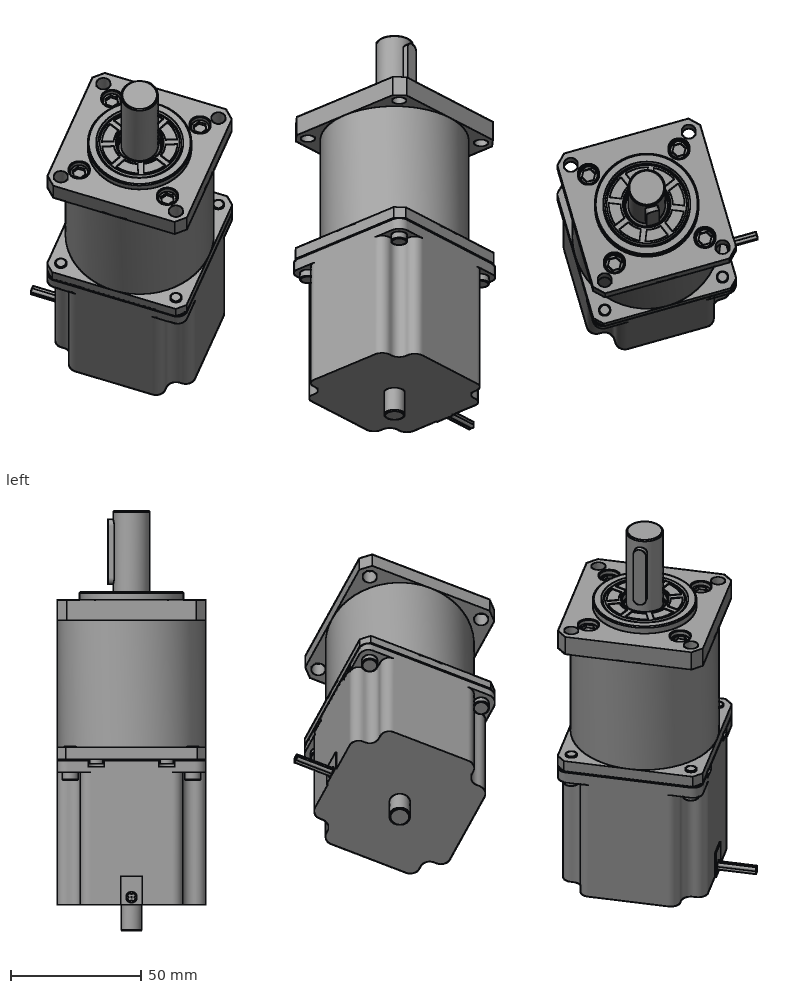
import cadquery as cq
import math


BODY_WIDTH = 57.0
HALF_WIDTH = BODY_WIDTH / 2
OVERALL_LENGTH = 72.5

MOTOR_BOTTOM = 10.0
CABLE_PAD_TOP = 21.0
MOTOR_FLANGE_BOTTOM = 60.8
MOTOR_FLANGE_TOP = 65.7
REAR_PLATE_TOP = 70.5
FRONT_PLATE_BOTTOM = 119.1
FRONT_PLATE_TOP = 127.0
PILOT_TOP = 130.0
SHAFT_TOP = 161.2

SHAFT_RADIUS = 7.1
REAR_SHAFT_RADIUS = 4.0
SHAFT_CHAMFER = 0.5
KEY_WIDTH = 5.0
KEY_LENGTH = 25.0
KEY_BOTTOM = 133.0
KEY_REACH = 9.0

FRONT_PLATE_CHAMFER = 3.7
REAR_PLATE_CHAMFER = 3.2
MOTOR_FLANGE_FILLET = 4.0
MOTOR_FLANGE_EDGE = 0.5

PILOT_RADIUS = 20.0
PILOT_CHAMFER = 0.5
GROOVE_OUTER_RADIUS = 16.8
GROOVE_INNER_RADIUS = 15.3
GROOVE_DEPTH = (GROOVE_OUTER_RADIUS - GROOVE_INNER_RADIUS) / 2
SHAFT_GAP_RADIUS = 8.7
SHAFT_GAP_CHAMFER = 0.5
SHOULDER_CHAMFER = 1.0
WINDOW_COUNT = 8
WINDOW_OUTER_RADIUS = 14.5
WINDOW_INNER_RADIUS = 10.0
WINDOW_DEPTH = 0.3
SPOKE_WIDTH = 2.3

CORNER_SCREW_INSET = 5.0
CORNER_SCREW_POS = HALF_WIDTH - CORNER_SCREW_INSET
CORNER_HOLE_RADIUS = 2.7
SCREW_HEAD_RADIUS = 3.0
SCREW_HEAD_HEIGHT = 2.9
SCREW_END_RADIUS = 2.3
SCREW_END_HEIGHT = 0.5
FASTENER_CHAMFER = 0.3
CAP_SCREW_POS = 18.0
COUNTERBORE_RADIUS = 3.9
COUNTERBORE_DEPTH = 3.2
CAP_HEAD_RADIUS = 3.4
CAP_HEAD_HEIGHT = 1.6
SOCKET_DIAMETER = 5.3
SOCKET_DEPTH = 1.3

RECESS_ARC_RADIUS = 3.9

POCKET_OFFSET = 13.5
POCKET_WIDTH = 6.3
POCKET_DEPTH = 2.7
POCKET_SCREW_INSET = 3.2
POCKET_SCREW_RADIUS = 2.5
POCKET_SCREW_LENGTH = 1.6

PAD_WIDTH = 8.2
PAD_THICKNESS = 0.5
CABLE_HEIGHT = 12.9
CABLE_HOLE_RADIUS = 2.1
CABLE_HOLE_DEPTH = 1.6
WIRE_RADIUS = 0.8
WIRE_PITCH = 1.3


def cylinder(radius, bottom, top, x=0, y=0):
    return cq.Workplane("XY", origin=(x, y, bottom)).circle(radius).extrude(top - bottom)


def square_plate(bottom, top):
    return cq.Workplane("XY", origin=(0, 0, bottom)).rect(BODY_WIDTH, BODY_WIDTH).extrude(top - bottom)


def four_corners(offset):
    return [(sx * offset, sy * offset) for sx in (-1, 1) for sy in (-1, 1)]


def motor_body():
    """Square prism whose four corners are cut back by rounded recesses around the screws."""
    screw = CORNER_SCREW_POS
    radius = RECESS_ARC_RADIUS
    lip = HALF_WIDTH - radius
    recess_wall = screw - radius
    flat_end = recess_wall - radius
    diagonal = radius * math.sqrt(0.5)
    recess = (
        cq.Workplane("XY", origin=(0, 0, MOTOR_BOTTOM))
        .moveTo(flat_end, HALF_WIDTH)
        .threePointArc((flat_end + diagonal, lip + diagonal), (recess_wall, lip))
        .lineTo(recess_wall, screw)
        .threePointArc((screw - diagonal, screw - diagonal), (screw, recess_wall))
        .lineTo(lip, recess_wall)
        .threePointArc((lip + diagonal, flat_end + diagonal), (HALF_WIDTH, flat_end))
        .lineTo(HALF_WIDTH, HALF_WIDTH)
        .close()
        .extrude(MOTOR_FLANGE_BOTTOM - MOTOR_BOTTOM)
    )
    body = square_plate(MOTOR_BOTTOM, MOTOR_FLANGE_BOTTOM)
    for quarter in range(4):
        body = body.cut(recess.rotate((0, 0, 0), (0, 0, 1), 90 * quarter))
    return body


def motor_flange():
    """Flange with two pockets that open to the -X face, each around the end of a screw."""
    flange = square_plate(MOTOR_FLANGE_BOTTOM, MOTOR_FLANGE_TOP).edges("|Z").fillet(MOTOR_FLANGE_FILLET)
    flange = flange.faces(">Z").chamfer(MOTOR_FLANGE_EDGE)
    screw_x = POCKET_SCREW_INSET - HALF_WIDTH
    screw_end = MOTOR_FLANGE_TOP - POCKET_SCREW_LENGTH
    for y in (-POCKET_OFFSET, POCKET_OFFSET):
        pocket = (
            cq.Workplane("XY", origin=(-HALF_WIDTH, y, MOTOR_FLANGE_TOP))
            .slot2D(2 * POCKET_SCREW_INSET + POCKET_WIDTH, POCKET_WIDTH)
            .extrude(-POCKET_DEPTH)
        )
        screw = cylinder(POCKET_SCREW_RADIUS, screw_end, MOTOR_FLANGE_TOP, screw_x, y)
        flange = flange.cut(pocket).union(screw)
    return flange


def gearbox():
    rear_plate = square_plate(MOTOR_FLANGE_TOP, REAR_PLATE_TOP).edges("|Z").chamfer(REAR_PLATE_CHAMFER)
    front_plate = square_plate(FRONT_PLATE_BOTTOM, FRONT_PLATE_TOP).edges("|Z").chamfer(FRONT_PLATE_CHAMFER)
    front_plate = (
        front_plate.faces(">Z").workplane()
        .pushPoints(four_corners(CORNER_SCREW_POS))
        .hole(2 * CORNER_HOLE_RADIUS)
    )
    housing = cylinder(HALF_WIDTH, REAR_PLATE_TOP, FRONT_PLATE_BOTTOM)
    return rear_plate.union(housing).union(front_plate)


def corner_screw(x, y):
    """Head under the motor flange and the screw end standing out of the rear plate."""
    head = cylinder(SCREW_HEAD_RADIUS, MOTOR_FLANGE_BOTTOM - SCREW_HEAD_HEIGHT, MOTOR_FLANGE_BOTTOM, x, y)
    end = cylinder(SCREW_END_RADIUS, REAR_PLATE_TOP, REAR_PLATE_TOP + SCREW_END_HEIGHT, x, y)
    return head.faces("<Z").chamfer(FASTENER_CHAMFER), end.faces(">Z").chamfer(FASTENER_CHAMFER)


def cap_screw_seat(x, y):
    """Counterbore with a bevelled rim, less the socket head that sits in it."""
    floor = FRONT_PLATE_TOP - COUNTERBORE_DEPTH
    head_top = floor + CAP_HEAD_HEIGHT
    bore = cylinder(COUNTERBORE_RADIUS, floor, FRONT_PLATE_TOP, x, y)
    rim = (
        cq.Workplane("XY", origin=(x, y, FRONT_PLATE_TOP))
        .circle(COUNTERBORE_RADIUS + FASTENER_CHAMFER)
        .extrude(-FASTENER_CHAMFER, taper=45)
    )
    head = cylinder(CAP_HEAD_RADIUS, floor, head_top, x, y)
    socket = (
        cq.Workplane("XY", origin=(x, y, head_top))
        .polygon(6, SOCKET_DIAMETER)
        .extrude(-SOCKET_DEPTH)
    )
    return bore.union(rim).cut(head.cut(socket))


def pilot():
    """Pilot with a V groove around the bearing seal, seal windows and a gap at the shaft."""
    body = cylinder(PILOT_RADIUS, FRONT_PLATE_TOP, PILOT_TOP).faces(">Z").chamfer(PILOT_CHAMFER)
    groove = (
        cq.Workplane("XZ")
        .moveTo(GROOVE_INNER_RADIUS, PILOT_TOP)
        .lineTo(GROOVE_OUTER_RADIUS, PILOT_TOP)
        .lineTo(GROOVE_OUTER_RADIUS - GROOVE_DEPTH, PILOT_TOP - GROOVE_DEPTH)
        .close()
        .revolve(360, (0, 0, 0), (0, 1, 0))
    )
    gap_rim = PILOT_TOP - SHAFT_GAP_CHAMFER
    shaft_gap = (
        cq.Workplane("XZ")
        .moveTo(0, FRONT_PLATE_TOP)
        .lineTo(SHAFT_GAP_RADIUS, FRONT_PLATE_TOP)
        .lineTo(SHAFT_GAP_RADIUS, gap_rim)
        .lineTo(SHAFT_GAP_RADIUS + SHAFT_GAP_CHAMFER, PILOT_TOP)
        .lineTo(0, PILOT_TOP)
        .close()
        .revolve(360, (0, 0, 0), (0, 1, 0))
    )
    window_floor = PILOT_TOP - WINDOW_DEPTH
    windows = cylinder(WINDOW_OUTER_RADIUS, window_floor, PILOT_TOP)
    windows = windows.cut(cylinder(WINDOW_INNER_RADIUS, window_floor, PILOT_TOP))
    window_angle = 360 / WINDOW_COUNT
    spoke = (
        cq.Workplane("XY", origin=(0, 0, window_floor))
        .center(WINDOW_OUTER_RADIUS / 2, 0)
        .rect(WINDOW_OUTER_RADIUS + SPOKE_WIDTH, SPOKE_WIDTH)
        .extrude(WINDOW_DEPTH)
    )
    for index in range(WINDOW_COUNT):
        windows = windows.cut(spoke.rotate((0, 0, 0), (0, 0, 1), window_angle * (index + 0.5)))
    return body.cut(groove).cut(shaft_gap).cut(windows)


def output_shaft():
    """Keyed shaft that flares out to a small shoulder on the floor of the seal gap."""
    shaft = cylinder(SHAFT_RADIUS, FRONT_PLATE_TOP, SHAFT_TOP).faces(">Z").chamfer(SHAFT_CHAMFER)
    shoulder = (
        cq.Workplane("XY", origin=(0, 0, FRONT_PLATE_TOP))
        .circle(SHAFT_RADIUS + SHOULDER_CHAMFER)
        .extrude(SHOULDER_CHAMFER, taper=45)
    )
    key = (
        cq.Workplane("XZ", origin=(0, 0, KEY_BOTTOM + KEY_LENGTH / 2))
        .slot2D(KEY_LENGTH, KEY_WIDTH, 90)
        .extrude(-KEY_REACH)
    )
    return shaft.union(shoulder).union(key)


def rear_shaft():
    return cylinder(REAR_SHAFT_RADIUS, 0, MOTOR_BOTTOM).faces("<Z").chamfer(SHAFT_CHAMFER)


def add_cable(body):
    """Pad on the -X face with a round outlet and four wires running out along -X."""
    pad_face = -HALF_WIDTH - PAD_THICKNESS
    hole_end = pad_face + CABLE_HOLE_DEPTH
    cable_end = HALF_WIDTH - OVERALL_LENGTH
    pad = (
        cq.Workplane("XY", origin=(-HALF_WIDTH, 0, MOTOR_BOTTOM))
        .rect(2 * PAD_THICKNESS, PAD_WIDTH)
        .extrude(CABLE_PAD_TOP - MOTOR_BOTTOM)
    )
    outlet = (
        cq.Workplane("YZ", origin=(pad_face, 0, CABLE_HEIGHT))
        .circle(CABLE_HOLE_RADIUS)
        .extrude(CABLE_HOLE_DEPTH)
    )
    body = body.union(pad).cut(outlet)
    for y, z in four_corners(WIRE_PITCH / 2):
        wire = (
            cq.Workplane("YZ", origin=(cable_end, y, CABLE_HEIGHT + z))
            .circle(WIRE_RADIUS)
            .extrude(hole_end - cable_end)
        )
        body = body.union(wire)
    return body


result = motor_body().union(motor_flange()).union(gearbox())
for screw_x, screw_y in four_corners(CORNER_SCREW_POS):
    for screw_piece in corner_screw(screw_x, screw_y):
        result = result.union(screw_piece)
for screw_x, screw_y in four_corners(CAP_SCREW_POS):
    result = result.cut(cap_screw_seat(screw_x, screw_y))
result = result.union(pilot()).union(output_shaft()).union(rear_shaft())
result = add_cable(result)